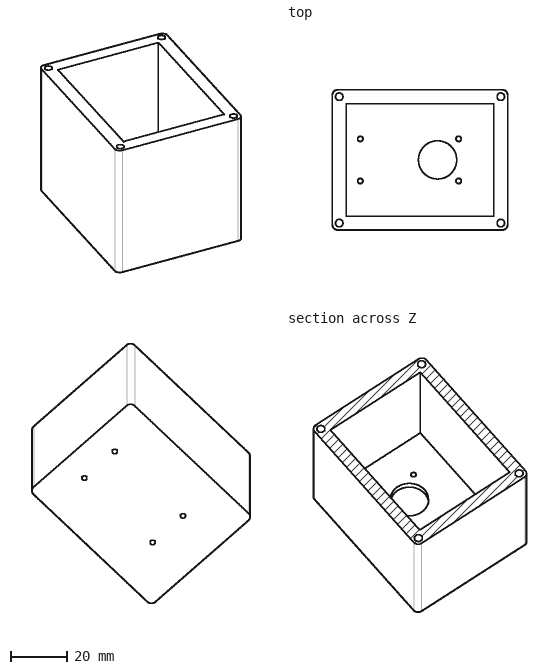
import cadquery as cq

length = 62.5
width = 50.0
height = 51.7
corner_radius = 2.0

wall = 5.0
floor_thickness = wall
cavity_length = length - 2 * wall
cavity_width = width - 2 * wall

screw_diameter = 2.7
screw_depth = 12.5
screw_inset = wall / 2

mount_diameter = 1.8
mount_spacing_x = 35.0
mount_spacing_y = 15.0
mount_center_x = -3.75

recess_diameter = 13.6
recess_depth = floor_thickness / 2
recess_center_x = 6.25


def hole_grid(diameter, depth, top_z, spacing_x, spacing_y, center_x=0.0):
    """Four cylinders on a rectangle, reaching down from top_z."""
    return (
        cq.Workplane("XY", origin=(center_x, 0, top_z))
        .rarray(spacing_x, spacing_y, 2, 2)
        .circle(diameter / 2)
        .extrude(-depth)
    )


block = (
    cq.Workplane("XY")
    .box(length, width, height, centered=(True, True, False))
    .edges("|Z")
    .fillet(corner_radius)
)

cavity = (
    cq.Workplane("XY", origin=(0, 0, floor_thickness))
    .rect(cavity_length, cavity_width)
    .extrude(height - floor_thickness)
)

screw_holes = hole_grid(
    screw_diameter, screw_depth, height, length - 2 * screw_inset, width - 2 * screw_inset
)

mount_holes = hole_grid(
    mount_diameter, floor_thickness, floor_thickness, mount_spacing_x, mount_spacing_y, mount_center_x
)

recess = (
    cq.Workplane("XY", origin=(recess_center_x, 0, floor_thickness))
    .circle(recess_diameter / 2)
    .extrude(-recess_depth)
)

result = block.cut(cavity).cut(screw_holes).cut(mount_holes).cut(recess)